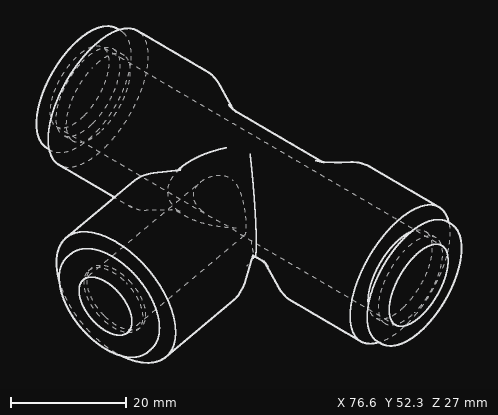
import cadquery as cq

body_radius = 13.5
neck_radius = 10.0
bend_radius = 2.75
flange_rim_round = 0.6

run_length = 76.6
run_end = run_length / 2
run_cone_start = 10.8
run_cone_end = 17.55
run_body_end = 34.1
run_flange_thickness = 1.9
run_collar_radius = 8.65
run_flange_radius = 12.0
run_bore_radius = 8.0

branch_end = 38.75
branch_cone_start = 10.4
branch_cone_end = 17.0
branch_body_end = 35.9
branch_flange_thickness = 2.1
branch_collar_radius = 6.7
branch_flange_radius = 10.8
branch_bore_radius = 6.0


def arm_body(cone_start, cone_end, body_end):
    """Neck widening through a cone into the body, along +Z, with both bends rounded."""
    body = (
        cq.Workplane("XZ")
        .polyline([
            (0, 0),
            (neck_radius, 0),
            (neck_radius, cone_start),
            (body_radius, cone_end),
            (body_radius, body_end),
            (0, body_end),
        ])
        .close()
        .revolve(360, (0, 0), (0, 1))
    )
    margin = 0.1
    bends = cq.selectors.BoxSelector(
        (-margin, -margin, cone_start - margin),
        (margin, margin, cone_end + margin),
    )
    return body.edges("%CIRCLE").edges(bends).fillet(bend_radius)


def release_ring(body_end, end, flange_thickness, collar_radius, flange_radius):
    """Collar leaving the body along +Z and the round-rimmed flange at its end."""
    collar = cq.Workplane("XY").workplane(offset=body_end).circle(collar_radius).extrude(end - body_end)
    flange = (
        cq.Workplane("XY")
        .workplane(offset=end - flange_thickness)
        .circle(flange_radius)
        .extrude(flange_thickness)
        .edges("%CIRCLE")
        .fillet(flange_rim_round)
    )
    return collar.union(flange)


def along_x(shape):
    return shape.rotate((0, 0, 0), (0, 1, 0), 90)


def along_minus_y(shape):
    return shape.rotate((0, 0, 0), (1, 0, 0), 90)


run_arm = along_x(
    arm_body(run_cone_start, run_cone_end, run_body_end).union(
        release_ring(run_body_end, run_end, run_flange_thickness, run_collar_radius, run_flange_radius)
    )
)
branch_arm = along_minus_y(
    arm_body(branch_cone_start, branch_cone_end, branch_body_end).union(
        release_ring(
            branch_body_end, branch_end, branch_flange_thickness, branch_collar_radius, branch_flange_radius
        )
    )
)

run_bore = along_x(cq.Workplane("XY").workplane(offset=-run_end).circle(run_bore_radius).extrude(run_length))
branch_bore = along_minus_y(cq.Workplane("XY").circle(branch_bore_radius).extrude(branch_end))

run = run_arm.union(run_arm.mirror("YZ")).clean()
result = run.union(branch_arm).cut(run_bore).cut(branch_bore).clean()